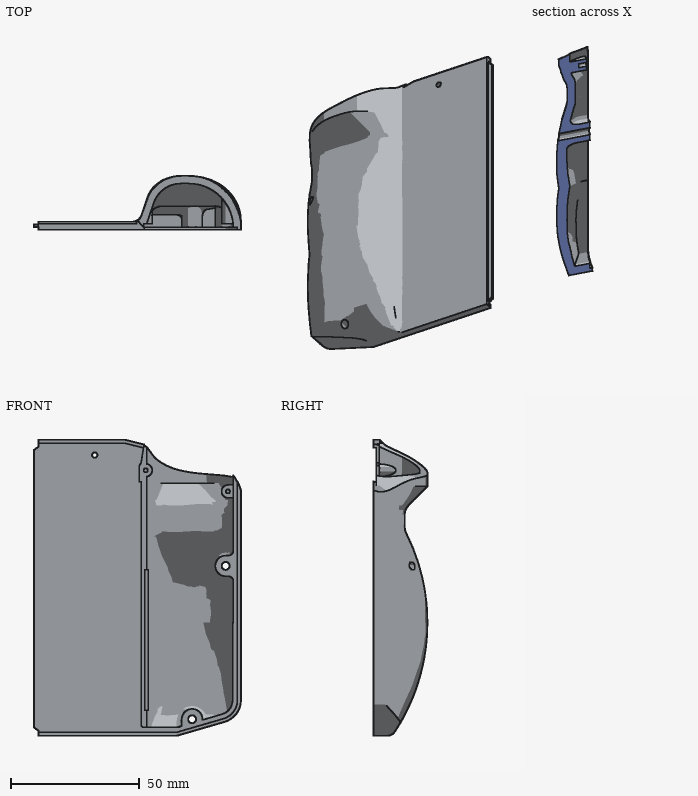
import cadquery as cq
import math

LENGTH = 115.0
WIDTH = 80.4
DOME_RISE = 21.0
LIP_DEPTH = 1.05
LIP_WIDTH = 1.4
PLATE_BACK = 3.2
EDGE_CHAMFER = 0.8
TONGUE_WIDTH = 1.75
TONGUE_BACK = 2.2
TONGUE_BOTTOM = 3.3
TONGUE_TOP = 111.0
TONGUE_CORNER = 1.3
TOP_BEND_X = 35.3
TOP_SLOPE_ANGLE = 14.0
TOP_SLOPE = math.tan(math.radians(TOP_SLOPE_ANGLE))
BOTTOM_BEND_X = 55.3
BOTTOM_SLOPE_ANGLE = 16.2
BOTTOM_SLOPE = math.tan(math.radians(BOTTOM_SLOPE_ANGLE))
CORNER_RADIUS = 9.0
PIN_HOLE = (23.6, 109.0)
PIN_HOLE_DIAMETER = 2.0

WALL = 3.0
SLANT = math.radians(18.6)
LEFT_WALL_X = 39.8
FOOT_RADIUS = 3.5
FOOT_SHARE = 0.9
CREST_LEFT_X = 57.1
WAIST_LEFT_X = 49.7
CREST_RIGHT_X = 60.1
WAIST_RIGHT_X = 70.0
TOE_LEFT_RADIUS = 1.0
TOE_RIGHT_RADIUS = 1.7
WAIST_LEFT_RADIUS = 8.0
WAIST_RIGHT_RADIUS = 10.4

CREST_Z = 44.0
CREST_RADIUS = 77.0
WAIST_RISE = 12.2
WAIST_RADIUS = 5.0
WAIST_TOP_Z = 86.0
RAMP_ANGLE = math.radians(45)
TOE_RADIUS = 4.0
SECTIONS_PER_STRETCH = 8

END_EDGE = [(40.0, 115.0), (42.8, 113.4), (48.9, 110.8), (57.7, 108.3),
            (71.0, 105.6), (76.0, 103.0), (78.7, 99.4), (80.5, 95.0)]
END_SINK = 0.3

RIM = 3.3
SHELF_Y = 2.3
SHELF_X = 41.6
SHELF_RIGHT = 44.7
BOSS_NOTCH_X = 40.8
BOSS_NOTCH_BOTTOM = 98.7
BOSS_NOTCH_TOP = 104.8
NOTCH_TAPER = 1.2
SHELF_CORNER_RADIUS = 1.2
GROOVE_X = 43.0
GROOVE_BACK = 4.3
GROOVE_BOTTOM = 10.0
GROOVE_TOP = 64.6

SIDE_BOSS = (74.4, 66.0)
BOTTOM_BOSS = (61.4, 6.5)
SCREW_BOSS_RADIUS = 4.0
SCREW_HOLE_DIAMETER = 3.0
SCREW_BOSS_BLEND = 2.0
SIDE_BOSS_ROOF_Y = 12.0
BOTTOM_BOSS_ROOF_Y = 9.0
END_BOSSES = [(43.4, 103.1), (75.3, 94.9)]
END_BOSS_RADIUS = 2.5
PILOT_DIAMETER = 1.6
PILOT_DEPTH = 3.5

MARGIN = 5.0


def block(x0, x1, y0, y1, z0, z1):
    """A box between opposite corners."""
    return cq.Workplane("XY").box(x1 - x0, y1 - y0, z1 - z0, centered=False).translate((x0, y0, z0))


def front_plane(y):
    """A sketch plane at depth y with local axes X and Z; extrude by a negative length to go along +Y."""
    return cq.Workplane("XZ", origin=(0, y, 0))


def rod(center, radius, y0, y1):
    """A cylinder along Y."""
    return front_plane(y0).center(*center).circle(radius).extrude(y0 - y1)


def footprint(inset, left, y0, y1):
    """The part's XZ outline, drawn in by inset on all sides but the left, as a prism along Y."""
    right = WIDTH - inset
    top = LENGTH - inset
    top_right = top - (right - TOP_BEND_X) * TOP_SLOPE
    bottom_right = inset + (right - BOTTOM_BEND_X) * BOTTOM_SLOPE
    outline = front_plane(y0).polyline([
        (left, inset), (BOTTOM_BEND_X, inset), (right, bottom_right),
        (right, top_right), (TOP_BEND_X, top), (left, top),
    ]).close().extrude(y0 - y1)
    return outline.edges("|Y").edges(cq.selectors.NearestToPointSelector(
        (right, (y0 + y1) / 2, bottom_right))).fillet(CORNER_RADIUS - inset)


def corner_cutter():
    """Space below the sloping bottom edge and around the rounded corner."""
    slope_angle = math.radians(BOTTOM_SLOPE_ANGLE)
    turn = (math.pi / 2 - slope_angle) / 2
    corner_z = (WIDTH - BOTTOM_BEND_X) * BOTTOM_SLOPE
    arc_z = corner_z + CORNER_RADIUS * math.tan(turn)
    center_x = WIDTH - CORNER_RADIUS
    arc_start = (center_x + CORNER_RADIUS * math.sin(slope_angle),
                 arc_z - CORNER_RADIUS * math.cos(slope_angle))
    arc_middle = (center_x + CORNER_RADIUS * math.cos(turn),
                  arc_z - CORNER_RADIUS * math.sin(turn))
    below = (BOTTOM_BEND_X - MARGIN / BOTTOM_SLOPE, -MARGIN)
    return (front_plane(-MARGIN).moveTo(*below).lineTo(*arc_start)
            .threePointArc(arc_middle, (WIDTH, arc_z)).lineTo(WIDTH + MARGIN, arc_z)
            .lineTo(WIDTH + MARGIN, -MARGIN).close().extrude(-DOME_RISE - 2 * MARGIN))


def top_slope_cutter():
    """Space above the sloping top edge."""
    right = WIDTH + MARGIN
    above = LENGTH + MARGIN
    return front_plane(-MARGIN).polyline([
        (TOP_BEND_X - MARGIN / TOP_SLOPE, above), (right, LENGTH - (right - TOP_BEND_X) * TOP_SLOPE),
        (right, above),
    ]).close().extrude(-DOME_RISE - 2 * MARGIN)


def crest_center_y():
    return DOME_RISE - CREST_RADIUS


def toe_rise():
    """Height of the dome at Z = 0, where the toe arc is centred; that arc is tangent to the crest arc."""
    lift = math.sqrt((CREST_RADIUS - TOE_RADIUS) ** 2 - (CREST_Z - TOE_RADIUS) ** 2)
    return crest_center_y() + lift


def waist_bottom_z():
    """Z at which the waist arc must be centred to be tangent to the crest arc."""
    reach = CREST_RADIUS + WAIST_RADIUS
    lift = WAIST_RISE + WAIST_RADIUS - crest_center_y()
    return CREST_Z + math.sqrt(reach ** 2 - lift ** 2)


def arc_points(center, radius, start, end):
    """(Z, Y) points along an arc; angles are measured from +Z towards +Y."""
    points = []
    for i in range(SECTIONS_PER_STRETCH + 1):
        angle = start + (end - start) * i / SECTIONS_PER_STRETCH
        points.append((center[0] + radius * math.cos(angle), center[1] + radius * math.sin(angle)))
    return points


def height_stretches(inset):
    """Smooth stretches of the dome's height line as (Z, Y) points, bottom to top."""
    crest = (CREST_Z, crest_center_y())
    toe = (TOE_RADIUS, toe_rise())
    toe_angle = math.atan2(toe[1] - crest[1], TOE_RADIUS - CREST_Z)
    waist_y = WAIST_RISE + WAIST_RADIUS
    waist_low = (waist_bottom_z(), waist_y)
    waist_high = (WAIST_TOP_Z, waist_y)
    join_angle = math.atan2(waist_y - crest[1], waist_low[0] - CREST_Z)
    waist_radius = WAIST_RADIUS + inset
    down = -math.pi / 2

    toe_arc = arc_points(toe, TOE_RADIUS - inset, math.pi, toe_angle)
    lower_arc = arc_points(crest, CREST_RADIUS - inset, toe_angle, math.pi / 2)
    upper_arc = arc_points(crest, CREST_RADIUS - inset, math.pi / 2, join_angle)
    waist_in = arc_points(waist_low, waist_radius, join_angle - math.pi, down)
    waist_out = arc_points(waist_high, waist_radius, down, down + RAMP_ANGLE)
    ramp_z, ramp_y = waist_out[-1]
    top = DOME_RISE - inset
    ramp_end = (ramp_z + (top - ramp_y) / math.tan(RAMP_ANGLE), top)
    return [toe_arc, lower_arc, upper_arc, waist_in, [waist_in[-1], waist_out[0]],
            waist_out, [waist_out[-1], ramp_end], [ramp_end, (LENGTH, top)]]


def corner_radii(height):
    """Outer left and right arc radii where the dome has this height.

    The crest strip widens with the square root of the drop, so its edges run straight along the
    crest arc. Below the waist the radii shrink with the height, down to the toe.
    """
    spread = math.sqrt(max(0, DOME_RISE - height) / (DOME_RISE - WAIST_RISE))
    left_x = CREST_LEFT_X + spread * (WAIST_LEFT_X - CREST_LEFT_X)
    right_x = CREST_RIGHT_X + spread * (WAIST_RIGHT_X - CREST_RIGHT_X)
    left = (left_x - left_wall_x(height, 0)) / (1 / math.cos(SLANT) - math.tan(SLANT))
    right = WIDTH - right_x
    share = (height - toe_rise()) / (WAIST_RISE - toe_rise())
    left_limit = TOE_LEFT_RADIUS + share * (WAIST_LEFT_RADIUS - TOE_LEFT_RADIUS)
    right_limit = TOE_RIGHT_RADIUS + share * (WAIST_RIGHT_RADIUS - TOE_RIGHT_RADIUS)
    return min(left, left_limit), min(right, right_limit)


def dome_section(z, height, inset, base):
    """Closed cross-section at z: a base, then slanted left wall, left arc, flat crest, right arc, right wall.

    base takes the height at which the left wall ends and gives the edges leading up to the wall.
    """
    left_r, right_r = corner_radii(height + inset)
    left_r -= inset
    right_r -= inset
    right = WIDTH - inset
    left_center = (left_wall_x(height - left_r, inset) + left_r / math.cos(SLANT), height - left_r)
    right_center = (right - right_r, height - right_r)
    quarter = math.pi / 2
    left_middle = (SLANT + quarter) / 2

    def on_left_arc(angle):
        return at(left_center, left_r, math.pi - angle, z)

    def on_right_arc(angle):
        return at(right_center, right_r, angle, z)

    lead = base(z, on_left_arc(SLANT).y, inset)
    corner = cq.Vector(right, 0, z)
    return cq.Wire.assembleEdges(lead + [
        cq.Edge.makeLine(lead[-1].endPoint(), on_left_arc(SLANT)),
        cq.Edge.makeThreePointArc(on_left_arc(SLANT), on_left_arc(left_middle), on_left_arc(quarter)),
        cq.Edge.makeLine(on_left_arc(quarter), on_right_arc(quarter)),
        cq.Edge.makeThreePointArc(on_right_arc(quarter), on_right_arc(quarter / 2), on_right_arc(0)),
        cq.Edge.makeLine(on_right_arc(0), corner),
        cq.Edge.makeLine(corner, lead[0].startPoint()),
    ])


def at(center, radius, angle, z):
    """Point on a circle in the cross-section at z."""
    return cq.Vector(center[0] + radius * math.cos(angle), center[1] + radius * math.sin(angle), z)


def left_wall_x(y, inset):
    """X of the left wall's slanted face at depth y."""
    return LEFT_WALL_X + inset / math.cos(SLANT) + y * math.tan(SLANT)


def open_base(z, wall_top, inset):
    """The left wall carried straight down to Y = 0."""
    start = cq.Vector(left_wall_x(0, inset), 0, z)
    return [cq.Edge.makeLine(start, cq.Vector(left_wall_x(wall_top / 2, inset), wall_top / 2, z))]


def plate_base(z, wall_top, inset):
    """The plate and the concave blend from its back to the left wall; the blend shrinks on a low wall."""
    rise = 1 - math.sin(SLANT)
    radius = min(FOOT_RADIUS, FOOT_SHARE * (wall_top - PLATE_BACK) / rise)
    center_y = PLATE_BACK + radius
    center = (left_wall_x(center_y, inset) - radius / math.cos(SLANT), center_y)
    start_angle = -math.pi / 2
    edge_front = cq.Vector(TONGUE_WIDTH, 0, z)
    edge_back = cq.Vector(TONGUE_WIDTH, PLATE_BACK, z)
    blend_start = at(center, radius, start_angle, z)
    blend_middle = at(center, radius, (start_angle - SLANT) / 2, z)
    blend_end = at(center, radius, -SLANT, z)
    return [
        cq.Edge.makeLine(edge_front, edge_back),
        cq.Edge.makeLine(edge_back, blend_start),
        cq.Edge.makeThreePointArc(blend_start, blend_middle, blend_end),
    ]


def dome(inset, base):
    """Solid under the dome's surface, drawn in by inset, standing on the given base."""
    body = None
    for stretch in height_stretches(inset):
        sections = [dome_section(z, height, inset, base) for z, height in stretch]
        piece = cq.Workplane(cq.Solid.makeLoft(sections, len(stretch) == 2))
        body = piece if body is None else body.union(piece)
    return body


def edge_chamfer():
    """Wedges that bevel the back of the plate's flat and sloping top edges."""
    def wedge(x0, x1):
        return cq.Workplane("YZ", origin=(x0, 0, 0)).polyline([
            (PLATE_BACK - EDGE_CHAMFER, LENGTH), (PLATE_BACK, LENGTH - EDGE_CHAMFER),
            (PLATE_BACK, LENGTH),
        ]).close().extrude(x1 - x0)

    bend = cq.Vector(TOP_BEND_X, 0, LENGTH)
    sloping = wedge(TOP_BEND_X, END_EDGE[0][0])
    sloping = sloping.rotate(bend.toTuple(), (bend + cq.Vector(0, 1, 0)).toTuple(), TOP_SLOPE_ANGLE)
    return wedge(0, TOP_BEND_X).union(sloping)


def tongue():
    return front_plane(LIP_DEPTH).polyline([
        (0, TONGUE_BOTTOM), (0, TONGUE_TOP), (TONGUE_WIDTH, TONGUE_TOP + TONGUE_CORNER),
        (TONGUE_WIDTH, TONGUE_BOTTOM - TONGUE_CORNER),
    ]).close().extrude(LIP_DEPTH - TONGUE_BACK)


def lip_recess():
    """Space in front of the plate, bounded by the lip."""
    return footprint(LIP_WIDTH, -MARGIN, -MARGIN, LIP_DEPTH)


def shelf_pocket():
    """Shallow step along the left wall, widened around the upper left boss."""
    return front_plane(0).polyline([
        (SHELF_X, RIM), (SHELF_X, BOSS_NOTCH_BOTTOM), (BOSS_NOTCH_X, BOSS_NOTCH_BOTTOM),
        (BOSS_NOTCH_X, BOSS_NOTCH_TOP), (SHELF_X, BOSS_NOTCH_TOP + NOTCH_TAPER),
        (END_EDGE[1][0], LENGTH - LIP_WIDTH), (END_EDGE[1][0], LENGTH), (SHELF_RIGHT, LENGTH),
        (SHELF_RIGHT, RIM),
    ]).close().extrude(-SHELF_Y).edges(
        cq.selectors.NearestToPointSelector((SHELF_X, SHELF_Y / 2, RIM))).fillet(SHELF_CORNER_RADIUS)


def shelf_groove():
    """Straight groove between the shelf and the left wall."""
    return block(GROOVE_X, SHELF_RIGHT, 0, GROOVE_BACK, GROOVE_BOTTOM, GROOVE_TOP)


def end_trim():
    """Everything beyond the slanted open end."""
    depth = DOME_RISE + 2 * MARGIN

    def outline(y):
        sink = y * END_SINK
        points = [(x, z - sink) for x, z in END_EDGE]
        beyond = LENGTH + MARGIN
        return (front_plane(y).moveTo(*points[0]).spline(points[1:], includeCurrent=True)
                .lineTo(WIDTH + MARGIN, points[-1][1]).lineTo(WIDTH + MARGIN, beyond)
                .lineTo(points[0][0], beyond).close().wires().val())

    return cq.Workplane(cq.Solid.makeLoft([outline(-MARGIN), outline(depth - MARGIN)], True))


def bosses():
    """Posts from the mouth of the cavity to the dome; all but the upper left one are webbed to a wall."""
    back = DOME_RISE
    x, z = SIDE_BOSS
    r = SCREW_BOSS_RADIUS
    posts = rod(SIDE_BOSS, r, LIP_DEPTH, back)
    posts = posts.union(block(x, WIDTH - WALL / 2, LIP_DEPTH, back, z - r, z + r))
    x, z = BOTTOM_BOSS
    posts = posts.union(rod(BOTTOM_BOSS, r, LIP_DEPTH, back))
    posts = posts.union(block(x - r, x, LIP_DEPTH, back, WALL / 2, z))
    r = END_BOSS_RADIUS
    for center in END_BOSSES:
        posts = posts.union(rod(center, r, SHELF_Y, back))
    x, z = END_BOSSES[1]
    return posts.union(block(x, WIDTH - WALL / 2, SHELF_Y, back, z - r, z + r))


def blend_screw_bosses(space):
    """Fillet the cavity where the rounded side of each screw boss runs into the roof."""
    middle = SCREW_BOSS_RADIUS / 2
    side_edge = (SIDE_BOSS[0] - middle, SIDE_BOSS_ROOF_Y, SIDE_BOSS[1])
    bottom_edge = (BOTTOM_BOSS[0], BOTTOM_BOSS_ROOF_Y, BOTTOM_BOSS[1] + middle)
    for point in (side_edge, bottom_edge):
        space = space.edges(cq.selectors.NearestToPointSelector(point)).fillet(SCREW_BOSS_BLEND)
    return space


def cavity():
    """Hollow of the dome: a rim is left around it, except at the open end, and the bosses stand in it."""
    mouth = footprint(RIM, 0, 0, DOME_RISE)
    open_end = block(SHELF_X, WIDTH, 0, DOME_RISE, CREST_Z, LENGTH)
    hollow = dome(WALL, open_base).intersect(mouth.union(open_end))
    return blend_screw_bosses(hollow.cut(bosses()))


def holes():
    cutters = rod(PIN_HOLE, PIN_HOLE_DIAMETER / 2, 0, PLATE_BACK + MARGIN)
    for center in (SIDE_BOSS, BOTTOM_BOSS):
        cutters = cutters.union(rod(center, SCREW_HOLE_DIAMETER / 2, 0, DOME_RISE))
    for center in END_BOSSES:
        cutters = cutters.union(rod(center, PILOT_DIAMETER / 2, SHELF_Y, SHELF_Y + PILOT_DEPTH))
    return cutters


body = dome(0, plate_base).cut(corner_cutter()).cut(top_slope_cutter()).cut(edge_chamfer())
body = body.cut(cavity()).cut(lip_recess()).cut(shelf_pocket()).cut(shelf_groove())
body = body.union(tongue())
result = body.cut(end_trim()).cut(holes())